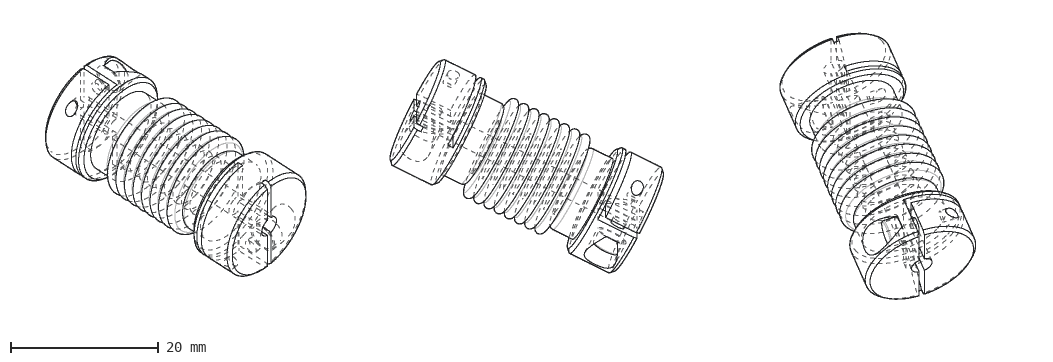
import cadquery as cq

length = 34.0
bore_radius = 1.5

hub_diameter = 16.0
hub_length = 7.0
hub_chamfer = 0.5
collar_radius = 6.12
collar_length = 3.6
collar_fillet = 0.6

ring_count = 8
ring_radius = 7.5
root_radius = 4.15
ring_width = 1.2

slit_width = 0.75
end_slit_depth = 1.05
saw_radius = 17.0
cross_slit_start = 5.17
cross_slit_width = 0.8

screw_from_end = 3.0
screw_height = 5.75
shank_radius = 1.0
thread_hole_diameter = 1.6
head_radius = 1.85
head_length = 2.0
head_edge_fillet = 0.17
shank_length = 6.0
pocket_radius = 2.18
pocket_floor_y = 2.05

hub_radius = hub_diameter / 2
thread_hole_radius = thread_hole_diameter / 2

hub_end_x = -length / 2
hub_inner_x = hub_end_x + hub_length
collar_end_x = hub_inner_x + collar_length
bellows_length = -2 * collar_end_x
groove_count = ring_count + 1
groove_width = (bellows_length - ring_count * ring_width) / groove_count
ring_pitch = ring_width + groove_width

screw_x = hub_end_x + screw_from_end
screw_tip_y = pocket_floor_y - shank_length


def y_cylinder(radius, start_y, end_y):
    """Cylinder on the left hub's screw axis, between two Y positions."""
    return (
        cq.Workplane("XZ", origin=(screw_x, start_y, screw_height))
        .circle(radius)
        .extrude(start_y - end_y)
    )


def left_end():
    """Solid hub and collar at the -X end, without its cuts."""
    hub = (
        cq.Workplane("YZ", origin=(hub_end_x, 0, 0))
        .circle(hub_radius)
        .extrude(hub_length)
        .edges()
        .chamfer(hub_chamfer)
    )
    collar = (
        cq.Workplane("YZ", origin=(hub_inner_x, 0, 0))
        .circle(collar_radius)
        .extrude(collar_length)
        .faces(">X")
        .edges()
        .fillet(collar_fillet)
    )
    return hub.union(collar)


def cut_slits(hub):
    """Disc-sawn slit freeing the jaw above the bore, and a cross slit behind the jaw."""
    jaw_slit = (
        cq.Workplane("XZ")
        .moveTo(0, hub_radius)
        .lineTo(cross_slit_start, hub_radius)
        .lineTo(cross_slit_start, -bore_radius)
        .radiusArc((end_slit_depth, -hub_radius), saw_radius)
        .lineTo(0, -hub_radius)
        .close()
        .extrude(slit_width / 2, both=True)
    )
    cross_slit = (
        cq.Workplane("XY", origin=(cross_slit_start, -hub_radius, 0))
        .box(
            cross_slit_width, hub_radius + slit_width / 2, 2 * hub_radius,
            centered=(False, False, True),
        )
    )
    slits = jaw_slit.union(cross_slit)
    return hub.cut(slits.translate((hub_end_x, 0, 0)))


def add_screw(hub):
    """Head pocket, threaded hole and the screw that bridges the jaw slit."""
    pocket = y_cylinder(pocket_radius, pocket_floor_y, hub_radius)
    thread_hole = y_cylinder(thread_hole_radius, -hub_radius, screw_tip_y)
    head = (
        y_cylinder(head_radius, pocket_floor_y, pocket_floor_y + head_length)
        .faces(">Y")
        .edges()
        .fillet(head_edge_fillet)
    )
    shank = y_cylinder(shank_radius, screw_tip_y, pocket_floor_y)
    return hub.cut(pocket).cut(thread_hole).union(shank).union(head)


def bellows():
    """Revolved row of rings, each a round crest between two round roots."""
    crest_edge = ring_radius - ring_width / 2
    root_edge = root_radius + groove_width / 2
    x = collar_end_x
    profile = cq.Workplane("XY").moveTo(x, 0).lineTo(x, root_edge)
    for _ in range(ring_count):
        ring_start = x + groove_width
        ring_end = x + ring_pitch
        profile = (
            profile
            .threePointArc((x + groove_width / 2, root_radius), (ring_start, root_edge))
            .lineTo(ring_start, crest_edge)
            .threePointArc((ring_start + ring_width / 2, ring_radius), (ring_end, crest_edge))
            .lineTo(ring_end, root_edge)
        )
        x = ring_end
    profile = profile.threePointArc(
        (x + groove_width / 2, root_radius), (-collar_end_x, root_edge)
    )
    return profile.lineTo(-collar_end_x, 0).close().revolve(360, (0, 0, 0), (1, 0, 0))


def shaft_bore():
    return cq.Workplane("YZ", origin=(hub_end_x, 0, 0)).circle(bore_radius).extrude(length)


left_hub = add_screw(cut_slits(left_end()))
right_hub = left_hub.rotate((0, 0, 0), (0, 1, 0), 180)
result = bellows().union(left_hub).union(right_hub).cut(shaft_bore())